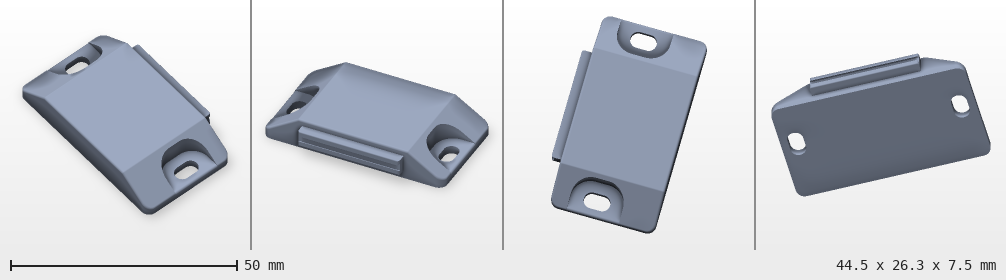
import cadquery as cq

length = 44.5
depth = 24.05
height = 7.5
end_height = 2.0
slope_run = 8.75
corner_radius = 2.0
edge_radius = 0.5

pocket_length = 7.8
pocket_width = 12.0
pocket_radius = 4.5
pocket_floor = 2.0
slot_width = 3.6
slot_length = 6.0
slot_inset = 3.5
mount_offset = 2.0

total_depth = 26.3
tongue_width = 25.0
tongue_bottom = 2.15
tongue_top = 6.05
tongue_corner_radius = 0.6
tongue_edge_radius = 0.25
groove_bottom = 3.1
groove_top = 5.07
groove_depth = 0.6
lip_size = 0.3
tongue_embed = 0.9

half_length = length / 2
front_y = -total_depth / 2
back_y = front_y + depth
tip_y = total_depth / 2
mount_y = front_y + depth / 2 + mount_offset


def make_housing():
    """Block with sloping ends, rounded corners and rounded upper edges."""
    top_half = half_length - slope_run
    outline = [
        (-half_length, 0),
        (half_length, 0),
        (half_length, end_height),
        (top_half, height),
        (-top_half, height),
        (-half_length, end_height),
    ]
    block = cq.Workplane("XZ", origin=(0, back_y, 0)).polyline(outline).close().extrude(depth)
    block = block.edges("|Z").fillet(corner_radius)
    return block.edges("not (|Z or <Z)").fillet(edge_radius)


def make_pocket(side):
    """Open-ended pocket over one sloping end (side is -1 or 1); its floor rolls over the outer edge."""
    outer_x = side * half_length
    pocket = (
        cq.Workplane("XY", origin=(outer_x, mount_y, 0))
        .rect(2 * pocket_length, pocket_width)
        .extrude(height)
        .edges("|Z")
        .fillet(pocket_radius)
    )
    ledge = (
        cq.Workplane("XY", origin=(0, mount_y, 0))
        .box(length, pocket_width, pocket_floor, centered=(True, True, False))
        .edges("|Y and >Z")
        .fillet(edge_radius)
    )
    return pocket.cut(ledge)


def make_slot(side):
    """Through slot for a screw in the floor of one pocket."""
    return (
        cq.Workplane("XY", origin=(side * (half_length - slot_inset), mount_y, 0))
        .slot2D(slot_length, slot_width, 90)
        .extrude(height)
    )


def make_tongue():
    """Tongue with a groove along its tip, narrowed at the mouth by two bevelled lips."""
    tongue_length = tip_y - back_y + tongue_embed
    blank = cq.Workplane("XY", origin=(0, tip_y - tongue_length / 2, tongue_bottom)).box(
        tongue_width, tongue_length, tongue_top - tongue_bottom, centered=(True, True, False)
    )
    rounded_corners = blank.edges("|Z and >Y").fillet(tongue_corner_radius)
    rounded_tip = blank.edges("|X and >Y").fillet(tongue_edge_radius)
    tongue = rounded_corners.intersect(rounded_tip)
    groove_outline = [
        (tip_y, groove_bottom + lip_size),
        (tip_y - lip_size, groove_bottom),
        (tip_y - groove_depth, groove_bottom),
        (tip_y - groove_depth, groove_top),
        (tip_y - lip_size, groove_top),
        (tip_y, groove_top - lip_size),
    ]
    groove = (
        cq.Workplane("YZ")
        .polyline(groove_outline)
        .close()
        .extrude(tongue_width / 2, both=True)
    )
    return tongue.cut(groove)


result = make_housing()
for end in (-1, 1):
    result = result.cut(make_pocket(end)).cut(make_slot(end))
result = result.union(make_tongue())